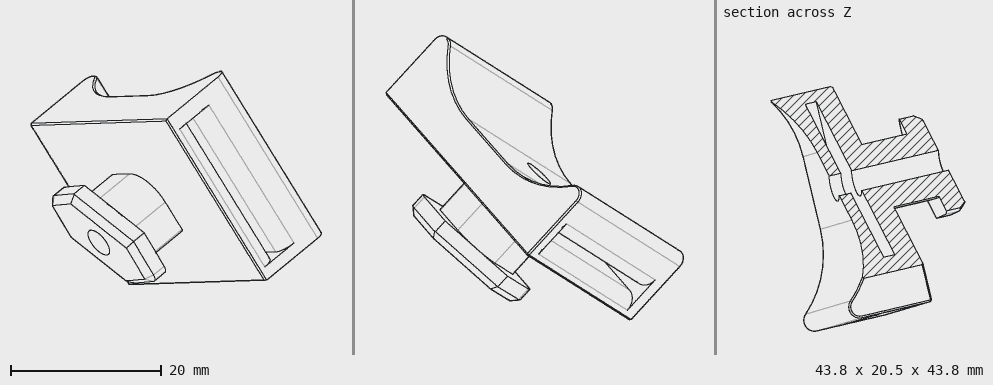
import cadquery as cq
import math

tilt = 45

outer_span = 43.75
edge_chamfer = 0.2
block_length = 35.93
block_width = outer_span * math.sqrt(2) - block_length + edge_chamfer
block_depth = 11.3
saddle_depth = 5.1
saddle_flat_half = 4.95
tip_radius = 1.45

slot_width = 22.35
slot_height = 1.5
slot_center_y = 3.75
slot_shift = 0.3
mouth_radius = 2.0

stem_length = 6.25
stem_radius = 4.7
stem_tip_radius = 0.25
head_thickness = 2.95
head_half_height = 4.7
head_flat_half = 5.55
head_point = 9.95
head_tip_radius = 1.05
head_chamfer_inset = 1.0
head_chamfer_depth = 0.9
bore_diameter = 4.03


def saddle_block():
    """Block with a flat-bottomed concave saddle between two rounded crests."""
    half = block_length / 2
    floor_y = block_depth - saddle_depth
    tip_x = half - tip_radius
    tip_y = block_depth - tip_radius
    run = tip_x - saddle_flat_half
    rise = tip_y - floor_y
    saddle_radius = (run**2 + rise**2 - tip_radius**2) / (2 * (rise + tip_radius))
    arc_y = floor_y + saddle_radius
    angle = math.atan2(run, arc_y - tip_y)

    def on_saddle(a):
        return saddle_flat_half + saddle_radius * math.sin(a), arc_y - saddle_radius * math.cos(a)

    def on_tip(a):
        return tip_x + tip_radius * math.cos(a), tip_y + tip_radius * math.sin(a)

    join_angle = angle + math.pi / 2
    right_half = (
        cq.Workplane("XY")
        .lineTo(half, 0)
        .lineTo(half, tip_y)
        .threePointArc(on_tip(join_angle / 2), on_tip(join_angle))
        .threePointArc(on_saddle(angle / 2), on_saddle(0))
        .lineTo(0, floor_y)
        .close()
        .extrude(block_width / 2, both=True)
    )
    body = right_half.union(right_half.mirror("YZ")).clean()
    chamfered = body.faces("<Y or <Z or >Z").edges().chamfer(edge_chamfer)
    crest_zone = cq.Workplane("XY").box(
        tip_radius, block_depth, block_width, centered=(False, False, True)
    ).translate((tip_x, 0, 0))
    right_crest = body.faces("<Y").edges().chamfer(edge_chamfer).intersect(crest_zone)
    return chamfered.union(right_crest)


def strap_slot():
    """Slot through both short ends, flared by a round at each mouth."""
    half = block_length / 2
    narrow = slot_height / 2
    wide = narrow + mouth_radius
    inner = half - mouth_radius
    bend = mouth_radius * (1 - math.sqrt(0.5))
    return (
        cq.Workplane("XY", origin=(0, slot_center_y, -slot_shift))
        .moveTo(-inner, narrow)
        .lineTo(inner, narrow)
        .threePointArc((half - bend, narrow + bend), (half, wide))
        .lineTo(half, -wide)
        .threePointArc((half - bend, -narrow - bend), (inner, -narrow))
        .lineTo(-inner, -narrow)
        .threePointArc((-half + bend, -narrow - bend), (-half, -wide))
        .lineTo(-half, wide)
        .threePointArc((-half + bend, narrow + bend), (-inner, narrow))
        .close()
        .extrude(slot_width / 2, both=True)
    )


def stem():
    """Round stem with a rounded right-angled point on the left and right."""
    side = 2 * stem_radius
    prism = cq.Workplane("XZ").rect(side, side).extrude(stem_length).rotate((0, 0, 0), (0, 1, 0), 45)
    pointed = prism.edges("|Y and (<X or >X)").fillet(stem_tip_radius)
    return pointed.edges("|Y and (<Z or >Z)").fillet(stem_radius)


def key_head():
    """Long hexagonal head with rounded points and a chamfered outer face."""
    return (
        cq.Workplane("XZ", origin=(0, -stem_length, 0))
        .polyline([
            (head_point, 0),
            (head_flat_half, head_half_height),
            (-head_flat_half, head_half_height),
            (-head_point, 0),
            (-head_flat_half, -head_half_height),
            (head_flat_half, -head_half_height),
        ])
        .close()
        .extrude(head_thickness)
        .edges("|Y and (<X or >X)")
        .fillet(head_tip_radius)
        .faces("<Y")
        .edges()
        .chamfer(head_chamfer_depth, head_chamfer_inset)
    )


block = saddle_block().cut(strap_slot()).rotate((0, 0, 0), (0, 1, 0), -tilt)
bore = cq.Workplane("XZ").circle(bore_diameter / 2).extrude(outer_span, both=True)
result = block.union(stem()).union(key_head()).cut(bore)